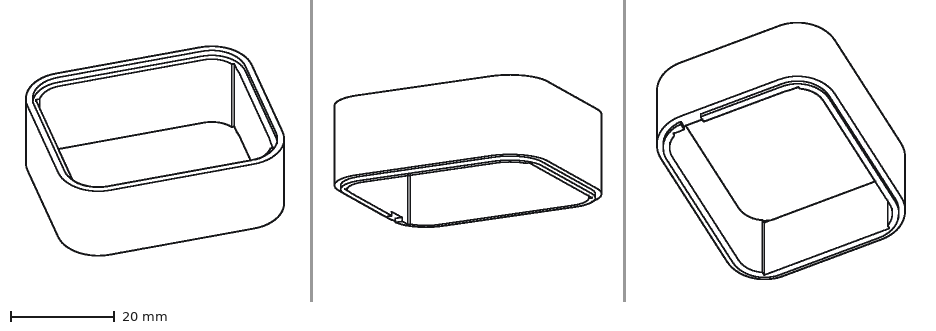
import cadquery as cq

width = 37.3
length = 45.0
height = 16.8
corner_radius = 8.05

wall = 2.48
rebate_inset = 1.3
lip_inset = 1.2
lip_height = 0.8
rebate_depth = 1.2

relief_half_width = 13.4
back_wall = 2.6
back_pad_wall = 2.75
back_flat_half_width = 10.58
back_pad_half_width = 11.85

notch_start = 6.85
notch_end = 11.05


def rounded_block(inset, bottom, top):
    """Block following the outer outline, moved inwards by inset."""
    return (
        cq.Workplane("XY", origin=(0, 0, bottom))
        .rect(width - 2 * inset, length - 2 * inset)
        .extrude(top - bottom)
        .edges("|Z")
        .fillet(corner_radius - inset)
    )


def opening():
    """Through opening: rounded sides with a squared relief at each Y end."""
    front_y = -(length / 2 - wall)
    back_y = length / 2 - back_wall
    pad_y = length / 2 - back_pad_wall
    relief = (
        cq.Workplane("XY")
        .moveTo(-relief_half_width, front_y)
        .lineTo(relief_half_width, front_y)
        .lineTo(relief_half_width, pad_y)
        .lineTo(back_pad_half_width, pad_y)
        .lineTo(back_flat_half_width, back_y)
        .lineTo(-back_flat_half_width, back_y)
        .lineTo(-back_pad_half_width, pad_y)
        .lineTo(-relief_half_width, pad_y)
        .close()
        .extrude(height)
    )
    side_span = (
        cq.Workplane("XY")
        .rect(width, 2 * pad_y)
        .extrude(height)
    )
    return rounded_block(wall, 0, height).intersect(side_span).union(relief)


def lip_notch():
    """Cutter that removes a short length of the bottom lip at +Y."""
    return cq.Workplane("XY").box(
        notch_end - notch_start, length / 2, lip_height, centered=False
    ).translate((notch_start, 0, 0))


body = rounded_block(0, lip_height, height)
lip = rounded_block(lip_inset, 0, lip_height)
top_rebate = rounded_block(rebate_inset, height - rebate_depth, height)

result = body.union(lip).cut(top_rebate).cut(opening()).cut(lip_notch())